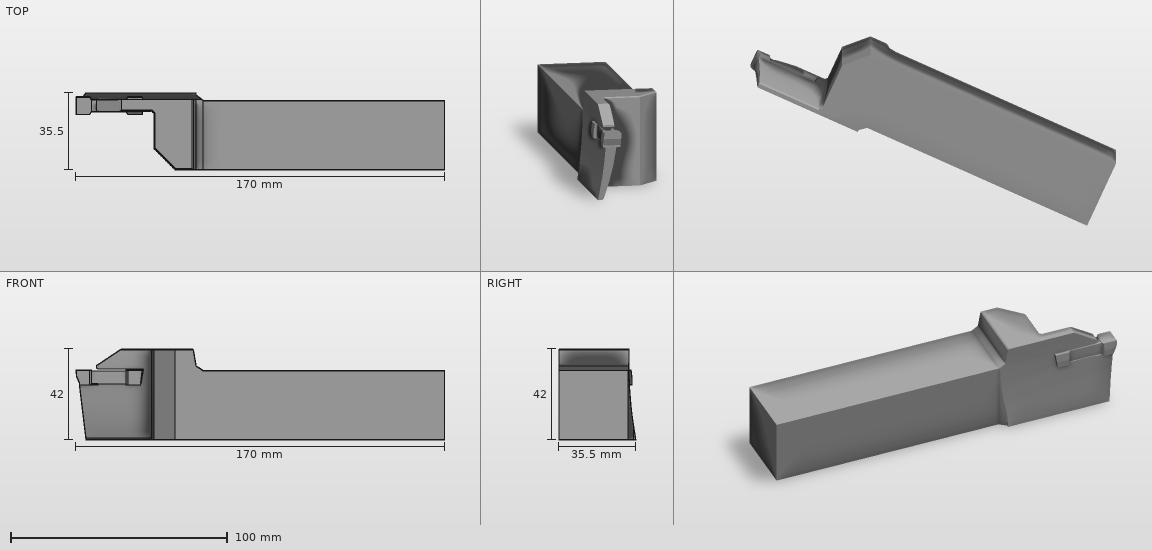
import cadquery as cq

LENGTH = 170.0
SHANK = 32.0
HEIGHT = 42.0
WIDTH = 35.5
BLOCK_X = 35.9
BLOCK_CHAMFER = 9.9
CORNER_BEVEL = 1.0
RAMP_TOP_X = 54.0
RAMP_KNEE_X = 55.5
RAMP_KNEE_Z = 34.0
RAMP_FOOT_X = 58.6
TOP_BEVEL = 0.5
BULGE_END_X = 55.5
BULGE_END_Y = 34.5

BLADE_FOOT_X = 4.6
BLADE_FRONT = {"foot": 33.2, "middle": 28.0, "top": 27.0}
BLADE_BACK = {"foot": WIDTH, "middle": 32.8, "top": 32.5}
FOOT_BEVEL = 0.5
ARC_MIDDLE_Z = HEIGHT / 2
NOSE_X = 9.4
NOSE_Z = 34.2
NOSE_BEVEL = 0.7
JAW_TOP_X = 21.0

INSERT_TOP = 32.1
INSERT_BOTTOM = 25.3
SLOT_TOP = 32.6
INSERT_Y = 29.4
HEAD_HALF_WIDTH = 3.9
NECK_HALF_WIDTH = 2.7
NECK_BOTTOM = 25.8
NECK_TOP = 31.8
HEAD_END_X = 6.3
NECK_START_X = 7.1
NECK_END_X = 23.1
TAIL_START_X = 24.0
INSERT_END_X = 30.6
INSERT_END_FOOT_X = 29.8
SLOT_END_GAP = 0.3
INSERT_FOOT_X = 1.5
CLEARANCE_END_Z = 26.2
LAND_X = 0.2
LAND_Z = 29.4
BACK_Y = 33.8
BACK_SLOPE_Z = 28.4


def prism_along_y(points, y_start, y_end):
    """Extrude an XZ outline from y_start to y_end."""
    plane = cq.Workplane("XZ", origin=(0, y_start, 0))
    return plane.polyline(points).close().extrude(y_start - y_end)


def prism_along_z(points, z_start, z_end):
    """Extrude an XY outline from z_start to z_end."""
    plane = cq.Workplane("XY").workplane(offset=z_start)
    return plane.polyline(points).close().extrude(z_end - z_start)


def make_side_outline():
    """Silhouette of blade, jaw, ramp and shank, across the full width."""
    points = [
        (BLADE_FOOT_X, 0), (LENGTH, 0), (LENGTH, SHANK), (RAMP_FOOT_X, SHANK),
        (RAMP_KNEE_X, RAMP_KNEE_Z), (RAMP_TOP_X, HEIGHT), (JAW_TOP_X, HEIGHT), (NOSE_X, NOSE_Z),
        (NOSE_X, SLOT_TOP + NOSE_BEVEL), (NOSE_X + NOSE_BEVEL, SLOT_TOP),
        (NOSE_X + NOSE_BEVEL, INSERT_BOTTOM), (INSERT_FOOT_X, INSERT_BOTTOM),
    ]
    return prism_along_y(points, 0, WIDTH)


def make_plan_outline():
    """Plan outline of block and shank, with the space in front of the blade removed."""
    body = prism_along_z([
        (0, 0), (LENGTH, 0), (LENGTH, SHANK), (RAMP_FOOT_X, SHANK),
        (BULGE_END_X, BULGE_END_Y), (BULGE_END_X, WIDTH), (0, WIDTH),
    ], 0, HEIGHT)
    corner = prism_along_z([
        (BLOCK_X, 0), (BLOCK_X + BLOCK_CHAMFER, 0), (BLOCK_X, BLOCK_CHAMFER),
    ], 0, HEIGHT)
    return body.cut(corner)


def make_front_space():
    """Space in front of the blade, with a bevel where blade meets block."""
    space = (
        cq.Workplane("YZ")
        .moveTo(0, 0)
        .lineTo(BLADE_FRONT["foot"], 0)
        .threePointArc((BLADE_FRONT["middle"], ARC_MIDDLE_Z), (BLADE_FRONT["top"], HEIGHT))
        .lineTo(0, HEIGHT)
        .close()
        .extrude(BLOCK_X)
    )
    space = space.faces(">X").edges("%CIRCLE").chamfer(CORNER_BEVEL)
    foot_bevel = (
        cq.Workplane("YZ")
        .polyline([
            (0, 0), (BLADE_FRONT["foot"] + FOOT_BEVEL, 0),
            (BLADE_FRONT["foot"] - FOOT_BEVEL, 2 * FOOT_BEVEL), (0, 2 * FOOT_BEVEL)])
        .close()
        .extrude(BLOCK_X - CORNER_BEVEL)
    )
    return space.union(foot_bevel)


def make_back_limit():
    """Everything in front of the curved back of the head."""
    return (
        cq.Workplane("YZ")
        .moveTo(0, 0)
        .lineTo(BLADE_BACK["foot"], 0)
        .threePointArc((BLADE_BACK["middle"], ARC_MIDDLE_Z), (BLADE_BACK["top"], HEIGHT))
        .lineTo(0, HEIGHT)
        .close()
        .extrude(LENGTH)
    )


def make_insert():
    """Dog-bone cutting insert: wide head, narrow neck and wide tail."""
    front_y = INSERT_Y - HEAD_HALF_WIDTH
    neck_front_y = INSERT_Y - NECK_HALF_WIDTH
    neck_back_y = INSERT_Y + NECK_HALF_WIDTH
    side = prism_along_y([
        (0, INSERT_TOP), (LAND_X, LAND_Z), (INSERT_FOOT_X, CLEARANCE_END_Z),
        (INSERT_FOOT_X, INSERT_BOTTOM),
        (INSERT_END_FOOT_X, INSERT_BOTTOM), (INSERT_END_X, INSERT_TOP),
    ], front_y, BACK_Y)
    plan = prism_along_z([
        (0, front_y), (HEAD_END_X, front_y),
        (NECK_START_X, neck_front_y), (NECK_END_X, neck_front_y),
        (TAIL_START_X, front_y), (INSERT_END_X, front_y),
        (INSERT_END_X, BACK_Y), (TAIL_START_X, BACK_Y),
        (NECK_END_X, neck_back_y), (NECK_START_X, neck_back_y),
        (HEAD_END_X, BACK_Y), (0, BACK_Y),
    ], INSERT_BOTTOM, INSERT_TOP)
    back_relief = (
        cq.Workplane("YZ")
        .polyline([
            (BACK_Y, BACK_SLOPE_Z), (BACK_Y, INSERT_TOP),
            (INSERT_Y + HEAD_HALF_WIDTH, INSERT_TOP)])
        .close()
        .extrude(INSERT_END_X)
    )
    neck_underside = prism_along_y([
        (NECK_START_X, INSERT_BOTTOM), (NECK_END_X, INSERT_BOTTOM),
        (NECK_END_X, NECK_BOTTOM), (NECK_START_X, NECK_BOTTOM),
    ], 0, WIDTH)
    neck_groove = prism_along_y([
        (NECK_START_X, NECK_TOP), (NECK_END_X, NECK_TOP),
        (NECK_END_X, INSERT_TOP), (NECK_START_X, INSERT_TOP),
    ], 0, WIDTH)
    return side.intersect(plan).cut(back_relief).cut(neck_underside).cut(neck_groove)


def make_slot():
    """Slot for the insert, open to the left, with a gap above and behind the insert."""
    return prism_along_y([
        (0, INSERT_BOTTOM), (NECK_START_X, INSERT_BOTTOM), (NECK_START_X, NECK_BOTTOM),
        (NECK_END_X, NECK_BOTTOM), (NECK_END_X, INSERT_BOTTOM),
        (INSERT_END_FOOT_X, INSERT_BOTTOM), (INSERT_END_X + SLOT_END_GAP, INSERT_TOP),
        (INSERT_END_X + SLOT_END_GAP, SLOT_TOP), (0, SLOT_TOP),
    ], 0, WIDTH)


holder = make_side_outline().intersect(make_plan_outline()).intersect(make_back_limit())
holder = holder.cut(make_front_space()).cut(make_slot())
holder = holder.faces(">Z").edges("not (<X or >Y)").chamfer(TOP_BEVEL)
insert = make_insert()

result = cq.Compound.makeCompound([holder.val(), insert.val()])